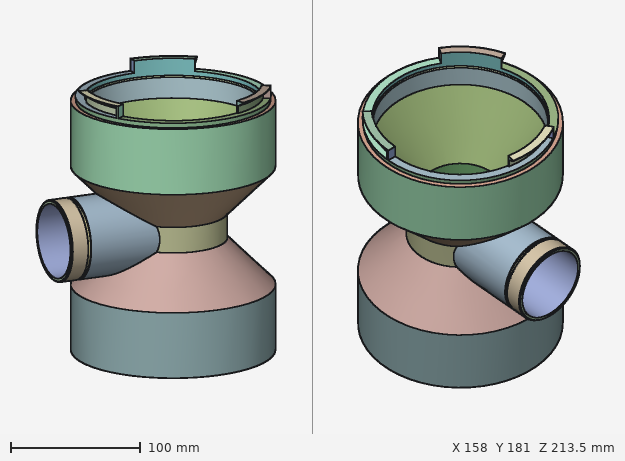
import cadquery as cq

total_height = 213.5
body_height = 199.8
socket_radius = 158.0 / 2
socket_height = 52.5
neck_radius = 83.7 / 2
neck_height = 20.5
mid_height = body_height / 2

socket_bore_radius = 135.0 / 2
socket_bore_depth = 18.0
lead_in_height = 1.3
throat_radius = 64.0 / 2
throat_height = 65.0

rim_top_radius = 151.0 / 2
rim_foot_radius = 150.0 / 2
rim_bore_radius = 68.3
rim_top = 203.7

tab_count = 3
first_tab_angle = 20.0
tab_sweep = 40.0
stop_sweep = 1.5
tab_wall = 1.3
lip_edge = 0.5
lip_height = 4.0

branch_radius = 64.0 / 2
branch_bore_radius = 58.0 / 2
branch_reach = 102.0
groove_radius = 62.0 / 2
groove_width = 2.5
groove_to_end = 14.0
branch_chamfer = 0.9


def revolve(points, sweep=360.0):
    """Turn a closed (radius, height) outline about Z, starting from +X."""
    return cq.Workplane("XZ").polyline(points).close().revolve(sweep, (0, 0, 0), (0, 1, 0))


def make_body():
    return revolve([
        (0, 0),
        (socket_radius, 0),
        (socket_radius, socket_height),
        (neck_radius, mid_height - neck_height / 2),
        (neck_radius, mid_height + neck_height / 2),
        (socket_radius, body_height - socket_height),
        (socket_radius, body_height),
        (0, body_height),
    ])


def make_passage():
    return revolve([
        (0, 0),
        (socket_bore_radius, 0),
        (socket_bore_radius, socket_bore_depth),
        (throat_radius, mid_height - throat_height / 2),
        (throat_radius, mid_height + throat_height / 2),
        (socket_bore_radius, body_height - socket_bore_depth),
        (socket_bore_radius, body_height - lead_in_height),
        (rim_bore_radius, body_height),
        (0, body_height),
    ])


def make_rim():
    return revolve([
        (rim_bore_radius, body_height),
        (rim_foot_radius, body_height),
        (rim_top_radius, rim_top),
        (rim_bore_radius, rim_top),
    ])


def make_tab():
    """Hooked wall with an outward lip, closed by a solid stop at its far end."""
    stem_radius = rim_bore_radius + tab_wall
    hook = revolve([
        (rim_bore_radius, rim_top),
        (stem_radius, rim_top),
        (stem_radius, total_height - lip_height),
        (rim_top_radius, total_height - lip_edge),
        (rim_top_radius, total_height),
        (rim_bore_radius, total_height),
    ], tab_sweep)
    stop = revolve([
        (rim_bore_radius, rim_top),
        (rim_top_radius, rim_top),
        (rim_top_radius, total_height),
        (rim_bore_radius, total_height),
    ], stop_sweep)
    stop = stop.rotate((0, 0, 0), (0, 0, 1), tab_sweep - stop_sweep)
    return hook.union(stop)


def branch_cylinder(radius, start, length):
    """Cylinder on the branch axis, from a distance `start` out along -Y."""
    plane = cq.Workplane("XZ", origin=(0, -start, mid_height))
    return plane.circle(radius).extrude(length)


def make_branch():
    branch = branch_cylinder(branch_radius, 0, branch_reach)
    groove_start = branch_reach - groove_to_end - groove_width
    groove = branch_cylinder(branch_radius, groove_start, groove_width)
    groove = groove.cut(branch_cylinder(groove_radius, groove_start, groove_width))
    return branch.cut(groove).faces("<Y").chamfer(branch_chamfer)


result = make_body().union(make_branch())
result = result.cut(make_passage())
result = result.cut(branch_cylinder(branch_bore_radius, 0, branch_reach))
result = result.union(make_rim())
for index in range(tab_count):
    angle = first_tab_angle + index * 360 / tab_count
    result = result.union(make_tab().rotate((0, 0, 0), (0, 0, 1), angle))